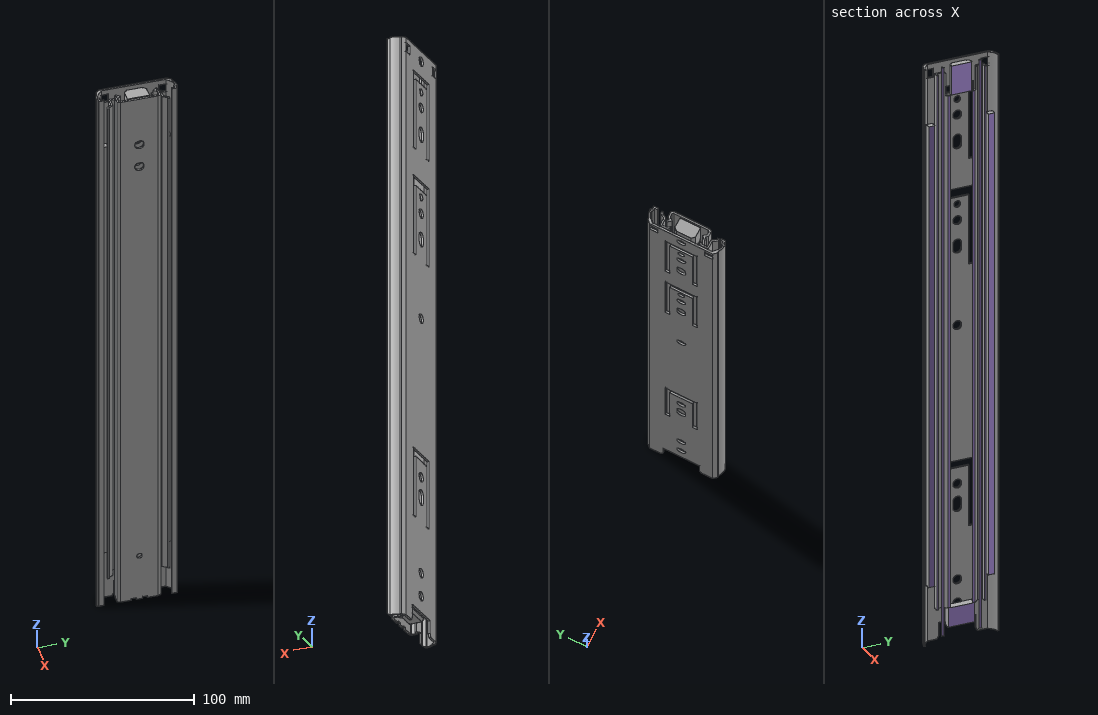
import cadquery as cq
import math


LENGTH = 350.0
WIDTH = 46.0
SHEET = 1.2
WEB_SPACING = 11.5
DEPTH = WEB_SPACING + SHEET
WALL = 1.0
HALF_WIDTH = WIDTH / 2

MIDDLE_BOTTOM = 20.3
MIDDLE_TOP = 344.8
INNER_BOTTOM = 4.0
INNER_TOP = 349.0
RETAINER_BOTTOM = 35.0
RETAINER_TOP = 315.0
BUMPER_BOTTOM = 8.5

WEB_HALF = 19.2
BEVEL_X = 1.8
BEVEL_Y = 21.5
RACE_START_X = 2.8
RACE_MIDDLE_X = 5.0
RACE_MIDDLE_Y = 22.5
RACE_END_X = 8.0
LIP_Y = 22.0
LIP_X = 10.0
LIP_HOOK_Y = 19.2
LIP_CHAMFER = 1.8

WINDOW_HALF = 9.8
TAB_HALF = 7.0
WINDOWS = [(287.7, 334.2, 4.2), (223.5, 271.0, 5.2), (64.8, 105.7, 4.2)]
SCREW_R = 2.62
SCREW_HOLES_Z = [343.7, 315.7, 251.5, 188.0, 91.7, 33.5, 19.5]
SCREW_SLOTS = [(295.0, 303.8), (231.7, 240.0), (75.0, 84.0)]
PEG_HOLES_Z = [325.0, 261.5]
PEG_R = 1.92
CATCH_OUTER_Y = 19.2
CATCH_INNER_Y = 14.5
CATCH_BOTTOM = 341.5
CATCH_TOP = 347.0
END_NOTCH_HALF = 11.2
END_NOTCH_TOP = 9.8
END_NOTCH_FLARE = 1.0

MIDDLE_BACK_X = 3.0
TROUGH_X = 7.7
TROUGH_HALF = 6.0
TROUGH_OPENING = 10.5
MIDDLE_FLANGE_Y = 14.5
MIDDLE_BEND_X = 8.5
MIDDLE_LIP_START_X = 10.0
MIDDLE_LIP_END_X = 11.2
MIDDLE_LIP_Y = 17.0
TOP_NOTCH_HALF = 9.0
TOP_NOTCH_BOTTOM = 331.0
UPPER_HOLES_Z = [317.5, 302.5]
MIDDLE_HOLE_Z = 191.5
PEG_CLEARANCE_Z = 325.0
PIN_HOLE_Z = 33.5
SMALL_HOLE_R = 1.58

INNER_WEB_HALF = 10.5
INNER_FLANGE_Y = 12.0
INNER_BEND_X = 11.5
INNER_RACE_X = 7.5
INNER_RACE_Y = 10.0
INNER_RACE_HALF = 1.5
END_NICK_Y = 3.0
END_NICK_WIDTH = 2.8
END_NICK_HEIGHT = 1.0

BLOCK_BACK_X = 3.0
BLOCK_HALF = 6.3
BLOCK_FRONT_X = 11.0
BLOCK_CHAMFER = 1.8
BUMPER_BACK_X = 2.0
BUMPER_HALF = 8.0
BUMPER_CHAMFER = 1.5
RETAINER_BACK_X = 3.5
RETAINER_WIDTH = 3.0
RETAINER_INNER_Y = 16.0
RETAINER_OUTER_Y = 20.0


def box(x0, x1, y0, y1, z0, z1):
    """A box given by its limits along each axis."""
    return cq.Workplane("XY").box(x1 - x0, y1 - y0, z1 - z0, centered=False).translate((x0, y0, z0))


def across(z, radius):
    """A round cutter along X, centred on the rail."""
    return cq.Workplane("YZ").center(0, z).circle(radius).extrude(DEPTH)


def bent_sheet(path, thickness, bottom, top):
    """A sheet of constant thickness that follows path and its mirror image in y = 0.

    The path starts on y = 0 and lies along the middle of the sheet; its corners are mitred.
    """
    line = [(x, -y) for x, y in reversed(path[1:])] + path[1:]
    normals = []
    for (x0, y0), (x1, y1) in zip(line, line[1:]):
        length = math.hypot(x1 - x0, y1 - y0)
        normals.append(((y0 - y1) / length, (x1 - x0) / length))
    one_side = []
    other_side = []
    for (x, y), (ax, ay), (bx, by) in zip(line, normals[:1] + normals, normals + normals[-1:]):
        reach = thickness / 2 / (1 + ax * bx + ay * by)
        dx = (ax + bx) * reach
        dy = (ay + by) * reach
        one_side.append((x + dx, y + dy))
        other_side.append((x - dx, y - dy))
    outline = one_side + other_side[::-1]
    return cq.Workplane("XY").polyline(outline).close().extrude(top - bottom).translate((0, 0, bottom))


def outer_section():
    """The plain C-shaped outer rail, with bulged ball races and hooked lips."""
    half = (
        cq.Workplane("XY")
        .lineTo(0, WEB_HALF)
        .lineTo(BEVEL_X, BEVEL_Y)
        .lineTo(RACE_START_X, BEVEL_Y)
        .threePointArc((RACE_MIDDLE_X, RACE_MIDDLE_Y), (RACE_END_X, HALF_WIDTH))
        .lineTo(RACE_END_X, LIP_Y)
        .lineTo(LIP_X, LIP_Y)
        .lineTo(LIP_X, LIP_HOOK_Y)
        .lineTo(LIP_X - WALL, LIP_HOOK_Y)
        .lineTo(LIP_X - WALL, LIP_Y - WALL)
        .lineTo(RACE_END_X - WALL, LIP_Y - WALL)
        .lineTo(RACE_END_X - WALL, HALF_WIDTH - WALL)
        .threePointArc((RACE_MIDDLE_X, RACE_MIDDLE_Y - WALL), (RACE_START_X + WALL / 2, BEVEL_Y - WALL))
        .lineTo(SHEET, WEB_HALF - WALL)
        .lineTo(SHEET, 0)
        .close()
        .extrude(LENGTH)
    )
    return half.union(half.mirror("XZ"))


def lanced_window(bottom, top, gap):
    """A U-shaped slit that leaves a tab joined to the web at its lower end."""
    opening = box(0, SHEET, -WINDOW_HALF, WINDOW_HALF, bottom, top)
    tab = box(0, SHEET, -TAB_HALF, TAB_HALF, bottom, top - gap)
    return opening.cut(tab)


def make_outer_rail():
    rail = outer_section()
    for window in WINDOWS:
        rail = rail.cut(lanced_window(*window))
    for z in SCREW_HOLES_Z:
        rail = rail.cut(across(z, SCREW_R))
    for bottom, top in SCREW_SLOTS:
        slot = (
            cq.Workplane("YZ")
            .center(0, (bottom + top) / 2)
            .slot2D(top - bottom, 2 * SCREW_R, 90)
            .extrude(SHEET)
        )
        rail = rail.cut(slot)
    for z in PEG_HOLES_Z:
        rail = rail.cut(across(z, PEG_R))
    for side in (-1, 1):
        y0, y1 = sorted((side * CATCH_INNER_Y, side * CATCH_OUTER_Y))
        rail = rail.cut(box(0, SHEET, y0, y1, CATCH_BOTTOM, CATCH_TOP))
    narrow = END_NOTCH_HALF
    flared = narrow + END_NOTCH_FLARE
    flare_top = 2 * END_NOTCH_FLARE
    end_notch = (
        cq.Workplane("YZ")
        .polyline([
            (-flared, 0), (flared, 0), (narrow, flare_top), (narrow, END_NOTCH_TOP),
            (-narrow, END_NOTCH_TOP), (-narrow, flare_top),
        ])
        .close()
        .extrude(SHEET)
    )
    lip_bevel = (
        cq.Workplane("XZ")
        .polyline([(LIP_X - LIP_CHAMFER, 0), (LIP_X, 0), (LIP_X, LIP_CHAMFER)])
        .close()
        .extrude(HALF_WIDTH, both=True)
    )
    return rail.cut(end_notch).cut(lip_bevel)


def make_middle_rail():
    back = MIDDLE_BACK_X + WALL / 2
    path = [
        (TROUGH_X, 0),
        (TROUGH_X, TROUGH_HALF),
        (back, TROUGH_OPENING),
        (back, MIDDLE_FLANGE_Y),
        (MIDDLE_BEND_X, MIDDLE_FLANGE_Y),
        (MIDDLE_LIP_START_X, MIDDLE_LIP_Y),
        (MIDDLE_LIP_END_X, MIDDLE_LIP_Y),
    ]
    rail = bent_sheet(path, WALL, MIDDLE_BOTTOM, MIDDLE_TOP)
    rail = rail.cut(box(0, DEPTH, -TOP_NOTCH_HALF, TOP_NOTCH_HALF, TOP_NOTCH_BOTTOM, MIDDLE_TOP))
    for z in UPPER_HOLES_Z + [MIDDLE_HOLE_Z]:
        rail = rail.cut(across(z, SCREW_R))
    for z in (PEG_CLEARANCE_Z, PIN_HOLE_Z):
        rail = rail.cut(across(z, SMALL_HOLE_R))
    return rail


def make_inner_rail():
    path = [
        (DEPTH - SHEET / 2, 0),
        (DEPTH - SHEET / 2, INNER_WEB_HALF),
        (INNER_BEND_X, INNER_FLANGE_Y),
        (INNER_RACE_X + INNER_RACE_HALF, INNER_FLANGE_Y),
        (INNER_RACE_X, INNER_RACE_Y),
        (INNER_RACE_X - INNER_RACE_HALF, INNER_FLANGE_Y),
    ]
    rail = bent_sheet(path, SHEET, INNER_BOTTOM, INNER_TOP)
    for z in UPPER_HOLES_Z:
        rail = rail.cut(across(z, SCREW_R))
    half = END_NICK_WIDTH / 2
    for y in (-END_NICK_Y, END_NICK_Y):
        rail = rail.cut(box(0, DEPTH, y - half, y + half, INNER_BOTTOM, INNER_BOTTOM + END_NICK_HEIGHT))
    return rail.cut(across(PIN_HOLE_Z, SMALL_HOLE_R))


def make_stop_block():
    """Block that stands in the notch at the top of the middle rail."""
    block = box(BLOCK_BACK_X, BLOCK_FRONT_X, -BLOCK_HALF, BLOCK_HALF, TOP_NOTCH_BOTTOM, INNER_TOP)
    return block.edges("<X and |Z").chamfer(BLOCK_CHAMFER)


def make_bumper():
    """Buffer under the lower end of the middle rail."""
    bumper = box(BUMPER_BACK_X, BLOCK_FRONT_X, -BUMPER_HALF, BUMPER_HALF, BUMPER_BOTTOM, MIDDLE_BOTTOM)
    return bumper.edges("<X and <Z").chamfer(BUMPER_CHAMFER)


def make_ball_retainer(side):
    """Strip between the outer and middle rails; side is +1 or -1 along Y."""
    y0, y1 = sorted((side * RETAINER_INNER_Y, side * RETAINER_OUTER_Y))
    front = RETAINER_BACK_X + RETAINER_WIDTH
    return box(RETAINER_BACK_X, front, y0, y1, RETAINER_BOTTOM, RETAINER_TOP)


outer_rail = make_outer_rail()
middle_rail = make_middle_rail()
inner_rail = make_inner_rail()
stop_block = make_stop_block()
bumper = make_bumper()
ball_retainers = [make_ball_retainer(side) for side in (-1, 1)]

result = cq.Compound.makeCompound([
    outer_rail.val(),
    middle_rail.val(),
    inner_rail.val(),
    stop_block.val(),
    bumper.val(),
    *[retainer.val() for retainer in ball_retainers],
])